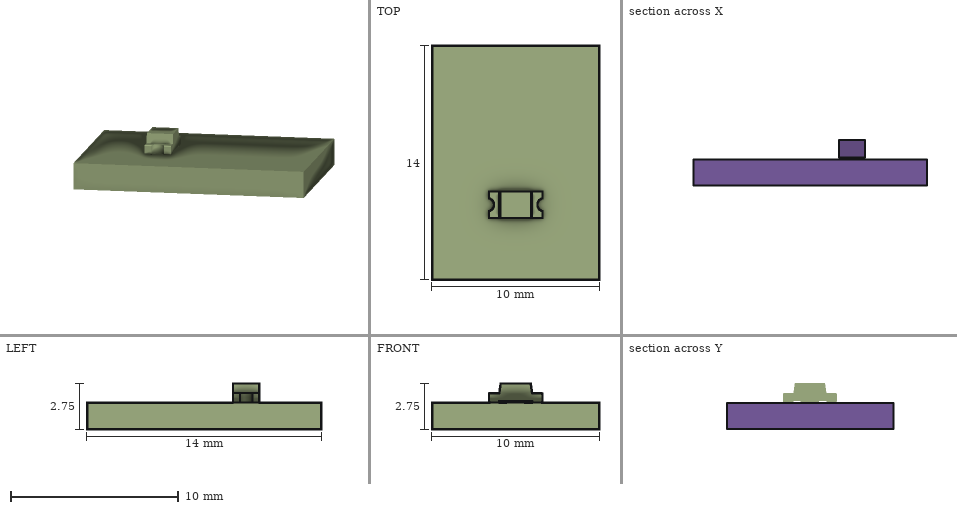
import cadquery as cq

board_width = 10.0
board_length = 14.0
total_height = 2.75
lamp_height = 1.15
board_thickness = total_height - lamp_height

lamp_center_y = -2.5
lamp_length = 3.2
lamp_width = 1.6
base_height = 0.56
plating = 0.08
edge_radius = 0.063
terminal_length = 0.62
notch_depth = 0.31
notch_width = 0.75

lens_bottom_length = 2.0
lens_top_length = 1.8

pad_length = 1.1
pad_inset = 0.28
pad_width = lamp_width - 2 * pad_inset


def make_board():
    return cq.Workplane("XY").box(
        board_width, board_length, board_thickness, centered=(True, True, False)
    ).translate((0, 0, -board_thickness))


def make_base():
    """Substrate with plated ends, raised off the board between the terminals."""
    base = (
        cq.Workplane("XY")
        .box(lamp_length, lamp_width, base_height, centered=(True, True, False))
        .edges("|Y")
        .fillet(edge_radius)
    )
    underside_gap = cq.Workplane("XY").box(
        lamp_length - 2 * terminal_length, lamp_width, plating, centered=(True, True, False)
    )
    return base.cut(underside_gap)


def make_center_pad():
    return cq.Workplane("XY").box(pad_length, pad_width, plating, centered=(True, True, False))


def make_lens():
    """Lens with sloping ends, standing on the substrate between the plated ends."""
    lens_bottom = base_height - plating
    return (
        cq.Workplane("XZ")
        .moveTo(-lens_bottom_length / 2, lens_bottom)
        .lineTo(lens_bottom_length / 2, lens_bottom)
        .lineTo(lens_top_length / 2, lamp_height)
        .lineTo(-lens_top_length / 2, lamp_height)
        .close()
        .extrude(lamp_width / 2, both=True)
    )


def make_end_notch(side):
    """Arc-shaped cutter for the end on the given side: -1 or 1 along X."""
    end_x = side * lamp_length / 2
    return (
        cq.Workplane("XY")
        .moveTo(end_x, -notch_width / 2)
        .threePointArc((end_x - side * notch_depth, 0), (end_x, notch_width / 2))
        .close()
        .extrude(base_height)
    )


def make_lamp():
    lamp = make_base().union(make_center_pad()).union(make_lens())
    for side in (-1, 1):
        lamp = lamp.cut(make_end_notch(side))
    return lamp.translate((0, lamp_center_y, 0))


board = make_board()
lamp = make_lamp()
result = cq.Compound.makeCompound([board.val(), lamp.val()])